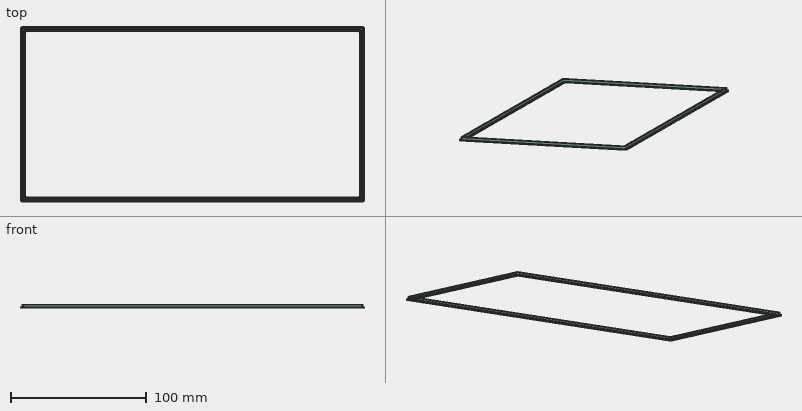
import cadquery as cq
length = 252.8
width = 128.8
height = 2.4

base_width = 3.2
base_thickness = 0.4
base_outer_radius = 1.5
base_inner_radius = 1.0

bead_width = 1.2
bead_inset = (base_width - bead_width) / 2
bead_corner_radius = 1.0
bead_top_radius = 0.5


def rounded_block(inset, block_height, corner_radius):
    """Block on Z = 0 whose sides lie `inset` inside the frame's outer edge."""
    block = cq.Workplane("XY").rect(length - 2 * inset, width - 2 * inset).extrude(block_height)
    return block.edges("|Z").fillet(corner_radius)


def ring(inset, bar_width, ring_height, outer_radius, inner_radius):
    """Rectangular ring of constant bar width with rounded corners."""
    outer = rounded_block(inset, ring_height, outer_radius)
    opening = rounded_block(inset + bar_width, ring_height, inner_radius)
    return outer.cut(opening)


def base_strip():
    return ring(0, base_width, base_thickness, base_outer_radius, base_inner_radius)


def bead():
    """Full-height ring with both of its top edges rounded over."""
    body = ring(bead_inset, bead_width, height, bead_corner_radius, bead_corner_radius)
    return body.faces(">Z").edges().fillet(bead_top_radius)


result = base_strip().union(bead())